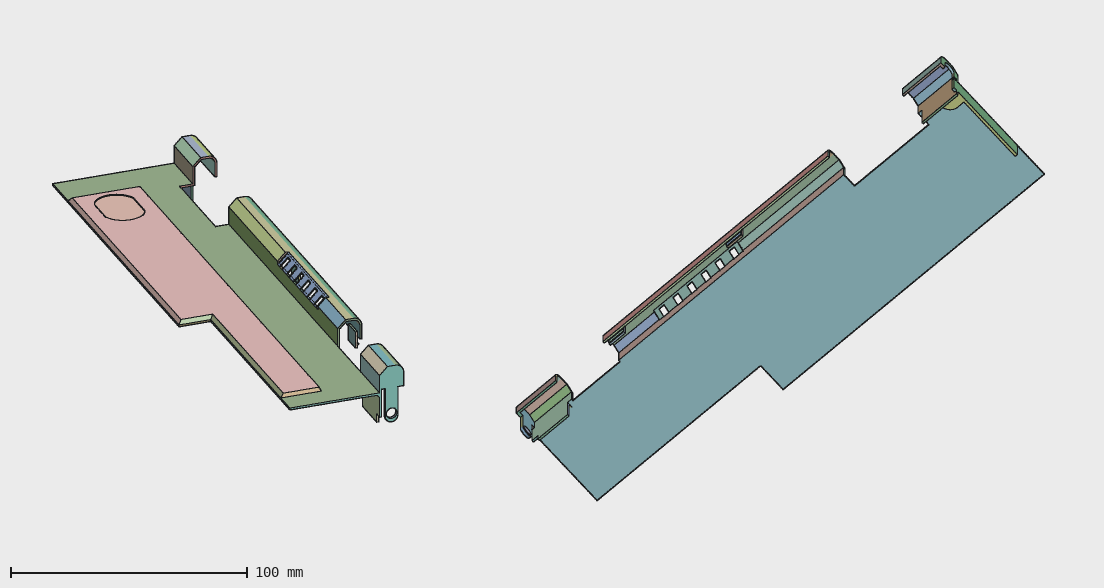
import cadquery as cq
import math

length = 239.5
depth = 66.0
height = 27.0
wall = 1.0

plate_back = 55.0
step_x = 147.3
step_y = 14.4
relief_front = 49.0

pad_left = 17.7
pad_right = 229.0
pad_back = 32.8
pad_top = 2.6
pad_bevel = 1.5
pad_edge = 0.7
grip_length = 25.9
grip_width = 17.7
grip_flat = 13.5
grip_x = 35.0
grip_y = 16.8
grip_depth = 0.5

hook_top = 12.7
hook_chamfer = 3.5
hook_round = 3.8
hook_lip = 2.5
left_hook = (0, 21.8)
middle_hook = (63.7, 190.6)
right_hook = (217.2, length)

vent_start = 120.5
vent_end = 167.6
vent_sink = 1.5
vent_panel = 0.5
vent_margin = 2.5
vent_slot = 2.9
vent_slot_back = 3.8
vent_count = 6
vent_pitch = (vent_end - vent_start - 2 * vent_margin - vent_slot) / (vent_count - 1)

skirt_bottom = hook_top - height
left_skirt_end = 19.6
right_skirt_start = 219.5
skirt_notch_x = 236.1
side_bottom = -10.5
side_front = 17.2
side_wall = 1.2

hinge_y = 60.5
arch_radius = 2.9
arch_z = 7.2
lug_radius = 2.9
lug_thickness = 1.5
lug_z = -10.8
eye_diameter = 4.8
eye_z = -9.5

block_width = 9.5
block_radius = 5.0

cove = 2.0

tab_width = 8.5
tab_starts = (113.3, 179.6)
tab_back = depth - wall
tab_bottom = -2.9
tab_root = 4.8
barb_z = -1.2
barb_half_height = 0.5
barb_reach = 0.7


def box(x, y, z):
    """Box between (low, high) limits on each axis."""
    size = (x[1] - x[0], y[1] - y[0], z[1] - z[0])
    return cq.Workplane("XY").box(*size, centered=False).translate((x[0], y[0], z[0]))


def side_sketch(x):
    """Workplane at x whose local axes are Y and Z and whose normal is +X."""
    return cq.Workplane("YZ", origin=(x, 0, 0))


def stepped_outline(left, right, front, back, step, step_front, z):
    """L-shaped outline whose front edge steps back at x = step."""
    return cq.Workplane("XY", origin=(0, 0, z)).polyline([
        (left, front), (step, front), (step, step_front),
        (right, step_front), (right, back), (left, back),
    ]).close()


def make_plate():
    """Plate with clearances between the hooks in its back edge."""
    plate = stepped_outline(0, length, 0, plate_back + wall, step_x, step_y, 0).extrude(wall)
    relief = box((left_hook[1], middle_hook[0]), (relief_front, depth), (0, wall))
    gap = box((middle_hook[1], right_hook[0]), (plate_back, depth), (0, wall))
    return plate.cut(relief).cut(gap)


def make_pad():
    """Raised pad with bevelled edges and a shallow finger recess."""
    foot = stepped_outline(pad_left, pad_right, 0, pad_back, step_x, step_y, wall)
    top = stepped_outline(pad_left + pad_bevel, pad_right - pad_edge, pad_bevel, pad_back - pad_edge,
                          step_x - pad_bevel, step_y + pad_bevel, pad_top)
    pad = cq.Workplane(cq.Solid.makeLoft([foot.wire().val(), top.wire().val()], True))
    half_flat = grip_flat / 2
    half_length = grip_length / 2
    half_width = grip_width / 2
    grip = (
        cq.Workplane("XY", origin=(grip_x, grip_y, pad_top - grip_depth))
        .moveTo(-half_flat, -half_width)
        .lineTo(half_flat, -half_width)
        .threePointArc((half_length, 0), (half_flat, half_width))
        .lineTo(-half_flat, half_width)
        .threePointArc((-half_length, 0), (-half_flat, -half_width))
        .close()
        .extrude(grip_depth)
    )
    return pad.cut(grip)


def hook_section(x):
    """Outer outline of a hook, closed one wall thickness below the plate."""
    return side_sketch(x).polyline([
        (plate_back, -wall),
        (plate_back, hook_top - hook_chamfer),
        (plate_back + hook_chamfer, hook_top),
        (depth - hook_round, hook_top),
    ]).tangentArcPoint((depth, hook_top - hook_round), relative=False).lineTo(depth, -wall).close()


def hook_block(start, end):
    """Solid hook profile, cut off at the lip behind the front wall."""
    block = hook_section(start).extrude(end - start)
    below_plate = box((start, end), (plate_back, depth), (-wall, 0))
    below_lip = box((start, end), (plate_back + wall, depth), (-wall, hook_lip))
    return block.cut(below_plate).cut(below_lip)


def make_hook(start, end):
    """Hook strip: the hook profile hollowed to the wall thickness."""
    hollow = hook_section(start).offset2D(-wall).extrude(end - start)
    return hook_block(start, end).cut(hollow)


def chamfer_band(x, width, shallow, deep):
    """Slanted band parallel to the hook chamfer, between two shifts along Y."""
    edge_z = hook_top - hook_chamfer
    return side_sketch(x).polyline([
        (plate_back, edge_z - shallow),
        (plate_back + hook_chamfer + shallow, hook_top),
        (plate_back + hook_chamfer + deep, hook_top),
        (plate_back, edge_z - deep),
    ]).close().extrude(width)


def add_vent(hook):
    """Sink the chamfer locally and open a row of slots through the sunk panel."""
    width = vent_end - vent_start
    panel_depth = vent_sink + vent_panel * math.sqrt(2)
    hook = hook.union(chamfer_band(vent_start, width, vent_sink, panel_depth))
    hook = hook.cut(chamfer_band(vent_start, width, 0, vent_sink))
    for i in range(vent_count):
        x = vent_start + vent_margin + i * vent_pitch
        slot = box((x, x + vent_slot), (plate_back, plate_back + vent_slot_back),
                   (hook_top - hook_chamfer - vent_sink, hook_top))
        hook = hook.cut(slot)
    return hook


def make_skirts():
    """Front walls hanging below the plate under the end hooks."""
    y = (plate_back, plate_back + wall)
    left = box((0, left_skirt_end), y, (skirt_bottom, wall))
    right = box((right_skirt_start, length), y, (skirt_bottom, wall))
    notch = box((skirt_notch_x, length), y, (skirt_bottom, side_bottom))
    skirts = left.union(right.cut(notch))
    skirts = skirts.union(make_skirt_cove(0, left_skirt_end))
    return skirts.union(make_skirt_cove(right_skirt_start, length))


def make_left_wall():
    """Left end wall: hook end with an arched opening, and a side skirt."""
    end = hook_block(0, side_wall)
    skirt = box((0, side_wall), (side_front, hinge_y), (side_bottom, wall))
    arch = side_sketch(0).center(hinge_y, arch_z).circle(arch_radius).extrude(side_wall)
    opening = box((0, side_wall), (hinge_y - arch_radius, hinge_y + arch_radius), (side_bottom, arch_z))
    return end.union(skirt).cut(arch).cut(opening)


def make_corner_block():
    """Block with one rounded corner, with a cove where it meets the plate."""
    front = plate_back - block_radius
    back = plate_back + wall
    block = box((side_wall, block_width), (front, back), (side_bottom, 0))
    block = block.edges("|Z and >X and <Y").fillet(block_radius)
    plate = box((side_wall, left_skirt_end), (front - 2 * cove, back), (0, wall))
    joint = cq.selectors.BoxSelector(
        (side_wall, front - wall, -wall / 2), (block_width + wall, back - wall / 4, wall / 2))
    return block.union(plate).edges(joint).fillet(cove)


def make_skirt_cove(start, end):
    """Concave fillet in the corner between the plate and a front skirt."""
    return (
        side_sketch(start)
        .moveTo(plate_back, 0)
        .lineTo(plate_back - cove, 0)
        .radiusArc((plate_back, -cove), cove)
        .close()
        .extrude(end - start)
    )


def make_lug():
    """Closed right hook end with an eyed lug hanging from it."""
    x = (length - lug_thickness, length)
    lug = hook_block(*x)
    lug = lug.union(box(x, (hinge_y - lug_radius, hinge_y + lug_radius), (lug_z, arch_z)))
    lug = lug.union(side_sketch(x[0]).center(hinge_y, lug_z).circle(lug_radius).extrude(lug_thickness))
    eye = side_sketch(x[0]).center(hinge_y, eye_z).circle(eye_diameter / 2).extrude(lug_thickness)
    return lug.cut(eye)


def make_snap_tab(x):
    """Tab rooted inside the back leg, with a small barb on its back face."""
    tab = box((x, x + tab_width), (tab_back - wall, tab_back), (tab_bottom, tab_root))
    root = box((x, x + tab_width), (tab_back - wall, depth), (hook_lip, tab_root))
    barb = side_sketch(x).polyline([
        (tab_back, barb_z - barb_half_height),
        (tab_back + barb_reach, barb_z),
        (tab_back, barb_z + barb_half_height),
    ]).close().extrude(tab_width)
    return tab.union(root).union(barb)


result = make_plate().union(make_pad())
result = result.union(make_hook(*left_hook))
result = result.union(add_vent(make_hook(*middle_hook)))
result = result.union(make_hook(*right_hook))
result = result.union(make_skirts()).union(make_left_wall()).union(make_corner_block()).union(make_lug())
for tab_x in tab_starts:
    result = result.union(make_snap_tab(tab_x))
result = result.clean()